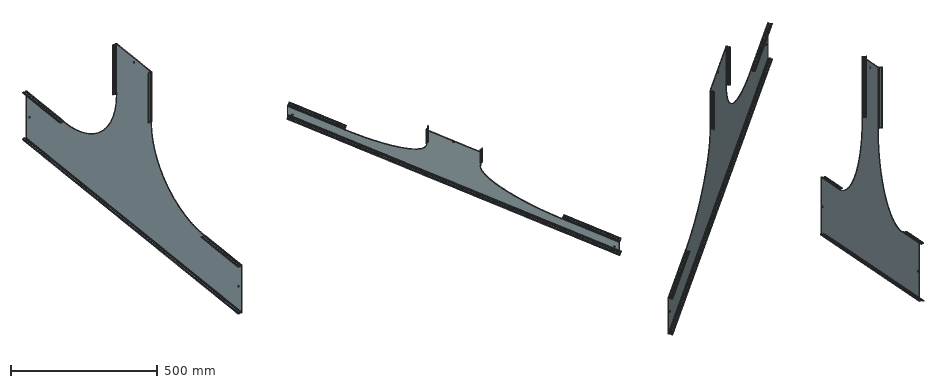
import cadquery as cq
import math

length = 1234.0
height = 718.0
depth = 16.0

sheet = 1.5
branch_width = 202.0
corner_radius = 300.0
edge_setback = 1.9
end_setback = 1.0

flange_length = 212.0
bead_centre = 7.0
bead_half_width = 4.0
bead_depth = 4.0

hole_diameter = 5.5
hole_inset = 20.0

half_length = length / 2
half_branch = branch_width / 2
plate_end = half_length - end_setback
stem_edge = half_branch - edge_setback
arm_edge = branch_width - edge_setback
stem_flange_start = height - flange_length
arm_flange_start = plate_end - flange_length


def make_plate():
    """Flat tee on the +Y side, with two concave quarter-round corners."""
    arc_side = stem_edge + corner_radius
    arc_top = arm_edge + corner_radius
    arc_offset = corner_radius * (1 - math.sqrt(0.5))
    return (
        cq.Workplane("XZ", origin=(0, depth, 0))
        .moveTo(-plate_end, 0)
        .lineTo(plate_end, 0)
        .lineTo(plate_end, arm_edge)
        .lineTo(arc_side, arm_edge)
        .threePointArc((stem_edge + arc_offset, arm_edge + arc_offset), (stem_edge, arc_top))
        .lineTo(stem_edge, height)
        .lineTo(-stem_edge, height)
        .lineTo(-stem_edge, arc_top)
        .threePointArc((-stem_edge - arc_offset, arm_edge + arc_offset), (-arc_side, arm_edge))
        .lineTo(-plate_end, arm_edge)
        .close()
        .extrude(sheet)
    )


def make_flange(run):
    """Flange along +X from the origin: outer face on Z = 0, bead raised towards +Z."""
    bead_start = bead_centre - bead_half_width
    bead_end = bead_centre + bead_half_width
    foot_width = edge_setback + sheet
    return (
        cq.Workplane("YZ")
        .polyline([
            (depth, 0),
            (bead_end, 0),
            (bead_centre, bead_depth),
            (bead_start, 0),
            (0, 0),
            (0, sheet),
            (bead_start, sheet),
            (bead_centre, bead_depth + sheet),
            (bead_end, sheet),
            (depth - sheet, sheet),
            (depth - sheet, foot_width),
            (depth, foot_width),
        ])
        .close()
        .extrude(run)
    )


def make_arm_flange():
    """Upper flange of the right-hand arm, with its bead pointing down."""
    return make_flange(flange_length).mirror("XY").translate((arm_flange_start, 0, branch_width))


def make_stem_flange():
    """Flange on the right-hand side of the stem, with its bead pointing to the middle."""
    upright = make_flange(flange_length).rotate((0, 0, 0), (0, 1, 0), -90)
    return upright.translate((half_branch, 0, stem_flange_start))


def make_holes():
    """Through holes near the ends of both arms and the stem."""
    hole_x = half_length - hole_inset
    centres = [
        (-hole_x, half_branch),
        (hole_x, half_branch),
        (0, height - hole_inset),
    ]
    return (
        cq.Workplane("XZ", origin=(0, depth, 0))
        .pushPoints(centres)
        .circle(hole_diameter / 2)
        .extrude(sheet)
    )


result = make_plate().union(make_flange(length).translate((-half_length, 0, 0)))
for flange in (make_arm_flange(), make_stem_flange()):
    result = result.union(flange).union(flange.mirror("YZ"))
result = result.cut(make_holes())